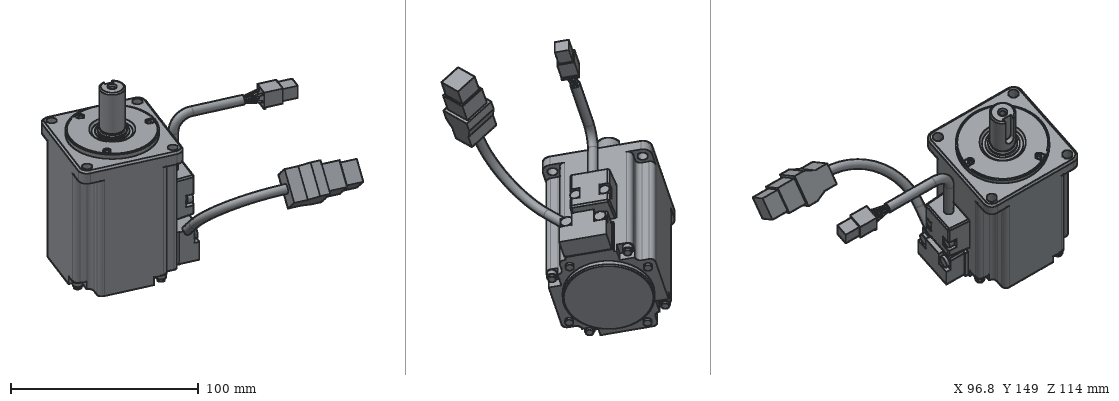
import cadquery as cq
import math


overall_length = 149
frame_width = 60.0
frame_half = frame_width / 2
flange_thick = 7.6
flange_corner_radius = 5.0
edge_break = 1.2
mount_hole_spacing = 49.5
mount_hole_dia = 5.5

cap_height = 3.3
cap_radius = 24.5
cap_chamfer = 0.7
flange_top = 84.0
housing_top = flange_top - flange_thick
boss_height = 3.0
boss_radius = 25.0
boss_bevel_width = 0.9
boss_bevel_height = 0.3
boss_top = flange_top + boss_height

shaft_radius = 7.0
shaft_top = 114.0
shaft_chamfer = 0.9

OVERLAP = 0.7


def box_between(x0, x1, y0, y1, z0, z1):
    """Axis-aligned block given by its limits."""
    return cq.Workplane("XY").box(x1 - x0, y1 - y0, z1 - z0, centered=False).translate((x0, y0, z0))


def round_bar(start, direction, radius, length):
    """Solid cylinder from a start point along a direction."""
    return cq.Workplane(cq.Solid.makeCylinder(radius, length, cq.Vector(*start), cq.Vector(*direction)))


def four_turns(shape):
    """Four copies of a shape, one on each side of the motor."""
    copies = shape
    for quarter in (1, 2, 3):
        copies = copies.union(shape.rotate((0, 0, 0), (0, 0, 1), 90 * quarter))
    return copies


notch_inner = 20.1
notch_fillet = 3.0


def make_housing():
    column = box_between(-frame_half, frame_half, -frame_half, frame_half, cap_height, housing_top)
    notch = box_between(notch_inner, frame_width, notch_inner, frame_width, 0, housing_top)
    return column.cut(four_turns(notch)).edges("|Z").fillet(notch_fillet)


pocket_start = 11.8
pocket_floor = 23.1
pocket_height = 4.9
screw_head_radius = 2.7
screw_along = 17.0
screw_out = 27.0
screw_head_rise = 2.0
screw_end_radius = 2.1
screw_end_rise = 0.3
stud_radius = 2.2
stud_along = -15.2
stud_out = 25.3
stud_length = 1.6


def add_rear_end(motor):
    pocket = box_between(pocket_start, frame_half, -frame_half - OVERLAP, -pocket_floor,
                         cap_height - OVERLAP, cap_height + pocket_height)
    head = round_bar((screw_along, -screw_out, cap_height + screw_head_rise), (0, 0, 1),
                     screw_head_radius, pocket_height - screw_head_rise + OVERLAP)
    screw_end = round_bar((screw_along, -screw_out, cap_height + screw_end_rise), (0, 0, 1),
                          screw_end_radius, pocket_height)
    screw = head.union(screw_end)
    stud = round_bar((stud_along, -stud_out, cap_height - stud_length), (0, 0, 1),
                     stud_radius, stud_length + OVERLAP)
    cap = cq.Workplane("XY").circle(cap_radius).extrude(cap_height + OVERLAP)
    cap = cap.faces("<Z").edges().chamfer(cap_chamfer)
    motor = motor.cut(four_turns(pocket)).union(four_turns(screw))
    return motor.union(four_turns(stud)).union(cap)


jack_circle = 21.3
jack_hole_radius = 1.3
jack_recess_radius = 2.1
jack_recess_depth = 0.6
jack_hole_depth = 2.2
recess_top_radius = 12.4
recess_floor_radius = 11.0
recess_depth = 1.3
seal_radius = 9.2
seal_height = 0.5


def make_flange():
    flange = cq.Workplane("XY", origin=(0, 0, housing_top)).rect(frame_width, frame_width)
    flange = flange.extrude(flange_thick).edges("|Z").fillet(flange_corner_radius)
    flange = flange.faces(">Z").edges().chamfer(edge_break)
    boss_profile = [(0, flange_top - OVERLAP), (boss_radius, flange_top - OVERLAP),
                    (boss_radius, boss_top - boss_bevel_height),
                    (boss_radius - boss_bevel_width, boss_top), (0, boss_top)]
    boss = cq.Workplane("XZ").polyline(boss_profile).close().revolve(360, (0, 0, 0), (0, 1, 0))
    mount_holes = (cq.Workplane("XY", origin=(0, 0, housing_top))
                   .rect(mount_hole_spacing, mount_hole_spacing, forConstruction=True)
                   .vertices().circle(mount_hole_dia / 2).extrude(flange_thick))
    return flange.union(boss).cut(mount_holes)


def cut_jack_holes(motor):
    for angle in (90, 210, 330):
        hole = round_bar((jack_circle, 0, boss_top), (0, 0, -1), jack_hole_radius, jack_hole_depth)
        recess = round_bar((jack_circle, 0, boss_top), (0, 0, -1), jack_recess_radius, jack_recess_depth)
        run_out = box_between(jack_circle, boss_radius - boss_bevel_width, -jack_recess_radius,
                              jack_recess_radius, boss_top - jack_recess_depth, boss_top)
        cutter = hole.union(recess).union(run_out)
        motor = motor.cut(cutter.rotate((0, 0, 0), (0, 0, 1), angle))
    return motor


def cut_bearing_recess(motor):
    floor = boss_top - recess_depth
    profile = [(0, floor + seal_height), (seal_radius, floor + seal_height), (seal_radius, floor),
               (recess_floor_radius, floor), (recess_top_radius, boss_top), (0, boss_top)]
    return motor.cut(cq.Workplane("XZ").polyline(profile).close().revolve(360, (0, 0, 0), (0, 1, 0)))


collar_radius = 7.9
collar_cone_height = 0.5
collar_top = boss_top + collar_cone_height
neck_radius = 6.7
neck_length = 1.5
neck_top = boss_top + neck_length
neck_chamfer = 0.3
key_width = 5.0
key_length = 20.0
key_floor = 3.9
centre_hole_radius = 1.6
centre_hole_depth = 12.5
countersink_radius = 2.5


def make_shaft():
    profile = [(0, flange_top), (collar_radius, flange_top), (collar_radius, boss_top),
               (neck_radius, collar_top), (neck_radius, neck_top - neck_chamfer),
               (shaft_radius, neck_top), (shaft_radius, shaft_top - shaft_chamfer),
               (shaft_radius - shaft_chamfer, shaft_top), (0, shaft_top)]
    shaft = cq.Workplane("XZ").polyline(profile).close().revolve(360, (0, 0, 0), (0, 1, 0))
    key_end_centre = shaft_top - key_length + key_width / 2
    keyway = box_between(-shaft_radius, -key_floor, -key_width / 2, key_width / 2,
                         key_end_centre, shaft_top)
    key_end = round_bar((-shaft_radius, 0, key_end_centre), (1, 0, 0),
                        key_width / 2, shaft_radius - key_floor)
    centre_hole = round_bar((0, 0, shaft_top), (0, 0, -1), centre_hole_radius, centre_hole_depth)
    countersink = cq.Workplane(cq.Solid.makeCone(
        countersink_radius, centre_hole_radius, countersink_radius - centre_hole_radius,
        cq.Vector(0, 0, shaft_top), cq.Vector(0, 0, -1)))
    return shaft.cut(keyway).cut(key_end).cut(centre_hole).cut(countersink)


upper_box_bottom = 27.8
upper_box_top = 53.6
upper_box_outer = 43.0
upper_base_half = 11.8
upper_outer_half = 10.7
upper_bottom_rise = 1.2
upper_chamfer = 0.9
upper_screw_z = 38.5
upper_screw_x = 7.9
upper_screw_radius = 3.0
upper_shank_radius = 1.8
upper_screw_seat = 39.2
upper_notch_half = 3.5
upper_notch_floor = 38.0
upper_screw_face = 42.3
upper_notch_inner = 5.4


def make_upper_box():
    inner = frame_half - OVERLAP
    plan = [(-upper_base_half, inner), (upper_base_half, inner),
            (upper_outer_half, upper_box_outer), (-upper_outer_half, upper_box_outer)]
    side = [(inner, upper_box_bottom), (upper_box_outer, upper_box_bottom + upper_bottom_rise),
            (upper_box_outer, upper_box_top), (inner, upper_box_top)]
    block = cq.Workplane("XY").polyline(plan).close().extrude(upper_box_top)
    block = block.intersect(cq.Workplane("YZ").polyline(side).close().extrude(upper_base_half, both=True))
    block = block.faces(">Y or >Z or <Z").edges().chamfer(upper_chamfer)
    for way in (-1, 1):
        inner_x, outer_x = sorted((way * upper_notch_inner, way * (upper_base_half + OVERLAP)))
        notch = box_between(inner_x, outer_x, upper_notch_floor, upper_box_outer,
                            upper_screw_z - upper_notch_half, upper_screw_z + upper_notch_half)
        shank = round_bar((way * upper_screw_x, upper_notch_floor - OVERLAP, upper_screw_z), (0, 1, 0),
                          upper_shank_radius, upper_screw_seat - upper_notch_floor + 2 * OVERLAP)
        head = round_bar((way * upper_screw_x, upper_screw_seat, upper_screw_z), (0, 1, 0),
                         upper_screw_radius, upper_screw_face - upper_screw_seat)
        block = block.cut(notch).union(shank).union(head)
    return block


lower_box_top = 23.8
lower_box_bottom = 3.7
lower_box_left = -9.4
lower_box_right = 16.5
lower_plate_left = -10.4
lower_plate_right = 16.1
lower_plate_outer = 31.9
lower_box_outer = 43.5
lower_chamfer = 1.0
lower_screw_z = 19.0
lower_notch_bottom = 15.0
lower_notch_floor = 40.7
lower_notch_width = 6.9
lower_screw_radius = 3.3
lower_screw_face = 42.7
lower_screw_inset = 3.9


def make_lower_box():
    plate = box_between(lower_plate_left, lower_plate_right, frame_half - OVERLAP, lower_plate_outer,
                        cap_height, lower_box_top)
    block = box_between(lower_box_left, lower_box_right, lower_plate_outer, lower_box_outer,
                        lower_box_bottom, lower_box_top)
    block = block.faces(">Z").edges("<X").chamfer(lower_chamfer)
    ends = ((lower_box_left, 1), (lower_box_right, -1))
    for end, inward in ends:
        inner_x, outer_x = sorted((end, end + inward * lower_notch_width))
        notch = box_between(inner_x, outer_x, lower_notch_floor, lower_box_outer,
                            lower_notch_bottom, lower_box_top)
        screw = round_bar((end + inward * lower_screw_inset, lower_notch_floor - OVERLAP, lower_screw_z),
                          (0, 1, 0), lower_screw_radius, lower_screw_face - lower_notch_floor + OVERLAP)
        block = block.cut(notch).union(screw)
    return plate.union(block)


cable_radius = 2.7
thin_cable_y = 35.3
thin_cable_z = 87.3
thin_bend_radius = 10.3
thin_cable_end = 75.5
wire_radius = 0.6
wire_spread_cable = 0.9
wire_spread_plug = 2.4
small_plug_start = 85.6
small_plug_step = 96.5
small_plug_end = 105.5
small_plug_half = 4.8
small_plug_tip_half = 3.9
small_plug_lip = 0.9
small_plug_lip_length = 1.0


def make_thin_cable():
    bend_start = thin_cable_z - thin_bend_radius
    bend_middle = thin_bend_radius * (1 - math.sqrt(0.5))
    path = (cq.Workplane("YZ").moveTo(thin_cable_y, upper_box_top - OVERLAP)
            .lineTo(thin_cable_y, bend_start)
            .threePointArc((thin_cable_y + bend_middle, thin_cable_z - bend_middle),
                           (thin_cable_y + thin_bend_radius, thin_cable_z))
            .lineTo(thin_cable_end, thin_cable_z))
    start = cq.Workplane("XY", origin=(0, thin_cable_y, upper_box_top - OVERLAP))
    tail = start.circle(cable_radius).sweep(path)

    spread = wire_spread_plug - wire_spread_cable
    run = small_plug_start - thin_cable_end
    wire_length = math.hypot(run, spread, spread) * (run + 2 * OVERLAP) / run
    lead_in = spread * OVERLAP / run
    for x_way in (-1, 1):
        for z_way in (-1, 1):
            offset = wire_spread_cable - lead_in
            wire_start = (x_way * offset, thin_cable_end - OVERLAP, thin_cable_z + z_way * offset)
            tail = tail.union(round_bar(wire_start, (x_way * spread, run, z_way * spread),
                                        wire_radius, wire_length))

    body = box_between(-small_plug_half, small_plug_half, small_plug_start, small_plug_step,
                       thin_cable_z - small_plug_half, thin_cable_z + small_plug_half)
    tip = box_between(-small_plug_tip_half, small_plug_tip_half, small_plug_step, small_plug_end,
                      thin_cable_z - small_plug_tip_half, thin_cable_z + small_plug_tip_half)
    lip = box_between(-small_plug_half, small_plug_half, small_plug_start,
                      small_plug_start + small_plug_lip_length,
                      thin_cable_z - small_plug_half - small_plug_lip, thin_cable_z)
    return tail.union(body).union(tip).union(lip)


power_exit_x = 11.2
power_cable_y = 37.1
power_plug_x = 53.6
power_rise = 8.2
large_plug_start = 78.2
plug_taper_start = 86.1
plug_taper_end = 92.3
plug_first_step = 98.1
plug_second_step = 109.0
plug_end = overall_length - frame_half
plug_neck_width = 12.5
plug_grip_width = 18.2
plug_grip_height = 19.0
plug_middle_size = 15.2
plug_tip_size = 13.0


def make_power_cable():
    plug_travel = (power_plug_x - power_exit_x) * math.sqrt(2)
    bend_radius = large_plug_start - power_cable_y
    bend_start = plug_travel - bend_radius
    bend_reach = bend_radius * math.sqrt(0.5)
    origin = (power_exit_x, 0, power_exit_x + power_rise)
    tilted = cq.Plane(origin=origin, xDir=(1, 0, 1), normal=(-1, 0, 1))

    path = (cq.Workplane(tilted).moveTo(0, power_cable_y).lineTo(bend_start, power_cable_y)
            .threePointArc((bend_start + bend_reach, large_plug_start - bend_reach),
                           (plug_travel, large_plug_start))
            .lineTo(plug_travel, large_plug_start + OVERLAP))
    section = cq.Plane(origin=tilted.toWorldCoords((0, power_cable_y, 0)), normal=(1, 0, 1))
    cable = cq.Workplane(section).circle(cable_radius).sweep(path)

    neck_half = plug_neck_width / 2
    grip_half = plug_grip_width / 2
    grip_outline = [(-neck_half, large_plug_start), (neck_half, large_plug_start),
                    (neck_half, plug_taper_start), (grip_half, plug_taper_end),
                    (grip_half, plug_first_step), (-grip_half, plug_first_step),
                    (-grip_half, plug_taper_end), (-neck_half, plug_taper_start)]
    grip_outline = [(plug_travel + across, along) for across, along in grip_outline]
    plug = cq.Workplane(tilted).polyline(grip_outline).close().extrude(plug_grip_height / 2, both=True)
    for size, start, end in ((plug_middle_size, plug_first_step, plug_second_step),
                             (plug_tip_size, plug_second_step, plug_end)):
        block = (cq.Workplane(tilted).center(plug_travel, (start + end) / 2)
                 .rect(size, end - start).extrude(size / 2, both=True))
        plug = plug.union(block)
    return cable.union(plug)


motor = make_housing().union(make_flange())
motor = add_rear_end(motor)
motor = cut_jack_holes(motor)
motor = cut_bearing_recess(motor)
motor = motor.union(make_shaft())
motor = motor.union(make_upper_box()).union(make_lower_box())
result = motor.union(make_thin_cable()).union(make_power_cable())